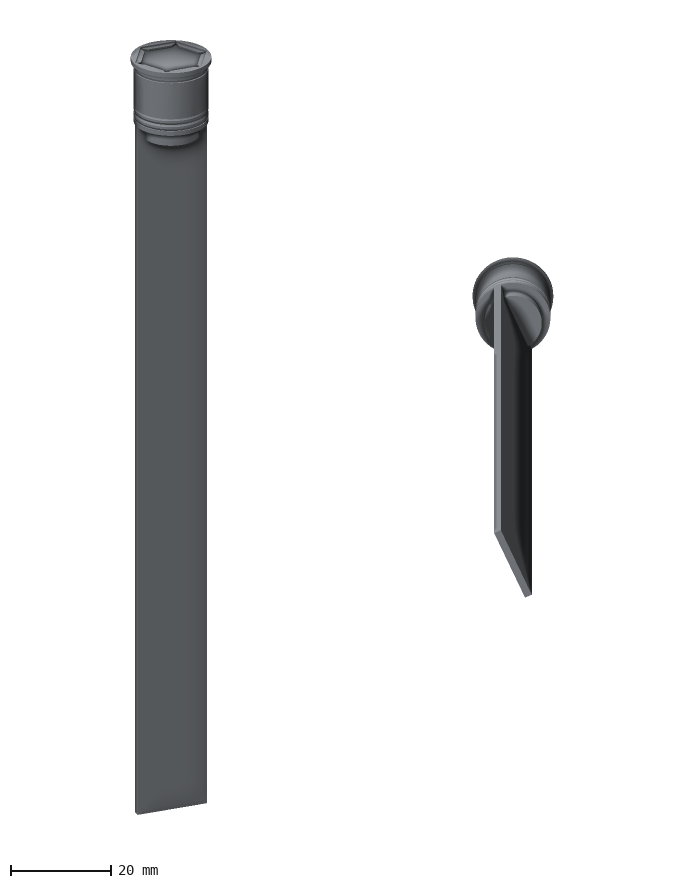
import cadquery as cq
import math

TOP_Z = 164.0
FLANGE_DIAMETER = 16.0
FLANGE_THICKNESS = 1.0
CAP_DIAMETER = 15.0
CAP_HEIGHT = 14.0
BOSS_DIAMETER = 11.5
BOSS_HEIGHT = 3.0

RECESS_FLATS = 13.3
RECESS_DEPTH = 0.8
TAB_DROP = 0.3
TAB_DEPTH = 1.0
TAB_FACE_WIDTH = 5.0
SIDE_COUNT = 6

GROOVE_DEPTH = 0.3
GROOVE_WIDTH = 0.5
GROOVE_DROP = 2.0

BEAD_COUNT = 2
BEAD_WIDTH = 1.3
BEAD_BULGE = 0.2
BEAD_CREST_WIDTH = 0.5
RING_WIDTH = BEAD_COUNT * BEAD_WIDTH
RING_DEPTH = 1.0
RING_DROP = 10.3

BLADE_WIDTH = 15.0
BLADE_THICKNESS = 1.5

CAP_BOTTOM_Z = TOP_Z - CAP_HEIGHT


def disc(diameter, height, bottom_z):
    return cq.Workplane("XY").workplane(offset=bottom_z).circle(diameter / 2).extrude(height)


def wall_band(drop, width, depth):
    """Ring flush with the cap wall, its upper face `drop` below the top face."""
    bottom_z = TOP_Z - drop - width
    return disc(CAP_DIAMETER, width, bottom_z).cut(disc(CAP_DIAMETER - 2 * depth, width, bottom_z))


def make_tab():
    """Tab on the +X side of the recess, tapering inward from the full side width."""
    wall_x = RECESS_FLATS / 2
    face_x = wall_x - TAB_DEPTH
    half_side = wall_x / math.sqrt(3)
    half_face = TAB_FACE_WIDTH / 2
    corners = [(wall_x, -half_side), (wall_x, half_side), (face_x, half_face), (face_x, -half_face)]
    floor = cq.Workplane("XY").workplane(offset=TOP_Z - RECESS_DEPTH)
    return floor.polyline(corners).close().extrude(RECESS_DEPTH - TAB_DROP)


def make_recess():
    corner_diameter = RECESS_FLATS * 2 / math.sqrt(3)
    recess = (
        cq.Workplane("XY")
        .workplane(offset=TOP_Z - RECESS_DEPTH)
        .transformed(rotate=(0, 0, 180 / SIDE_COUNT))
        .polygon(SIDE_COUNT, corner_diameter)
        .extrude(RECESS_DEPTH)
    )
    tab = make_tab()
    for side in range(SIDE_COUNT):
        recess = recess.cut(tab.rotate((0, 0, 0), (0, 0, 1), side * 360 / SIDE_COUNT))
    return recess


def make_blade():
    return cq.Workplane("XY").box(
        BLADE_THICKNESS, BLADE_WIDTH, CAP_BOTTOM_Z, centered=(True, True, False)
    )


def make_seal_ring():
    """Revolve a straight-backed profile with one bevelled ridge per bead."""
    inner_radius = CAP_DIAMETER / 2 - RING_DEPTH
    crest_radius = CAP_DIAMETER / 2
    valley_radius = crest_radius - BEAD_BULGE
    top_z = TOP_Z - RING_DROP
    bevel_height = (BEAD_WIDTH - BEAD_CREST_WIDTH) / 2
    profile = cq.Workplane("XZ").moveTo(inner_radius, top_z).lineTo(valley_radius, top_z)
    for bead in range(BEAD_COUNT):
        bead_top_z = top_z - bead * BEAD_WIDTH
        profile = (
            profile.lineTo(crest_radius, bead_top_z - bevel_height)
            .lineTo(crest_radius, bead_top_z - bevel_height - BEAD_CREST_WIDTH)
            .lineTo(valley_radius, bead_top_z - BEAD_WIDTH)
        )
    profile = profile.lineTo(inner_radius, top_z - RING_WIDTH).close()
    return profile.revolve(360, (0, 0, 0), (0, 1, 0))


def make_cap(blade):
    """Flanged cap with a boss slotted for the blade and a seat for the seal ring."""
    body = disc(CAP_DIAMETER, CAP_HEIGHT, CAP_BOTTOM_Z)
    flange = disc(FLANGE_DIAMETER, FLANGE_THICKNESS, TOP_Z - FLANGE_THICKNESS)
    boss = disc(BOSS_DIAMETER, BOSS_HEIGHT, CAP_BOTTOM_Z - BOSS_HEIGHT)
    cap = body.union(flange).union(boss)
    cap = cap.cut(make_recess())
    cap = cap.cut(wall_band(GROOVE_DROP, GROOVE_WIDTH, GROOVE_DEPTH))
    ring_seat = wall_band(RING_DROP, RING_WIDTH, RING_DEPTH)
    return cap.cut(ring_seat).cut(blade)


blade = make_blade()
seal_ring = make_seal_ring()
cap = make_cap(blade)

result = cq.Compound.makeCompound([cap.val(), seal_ring.val(), blade.val()])